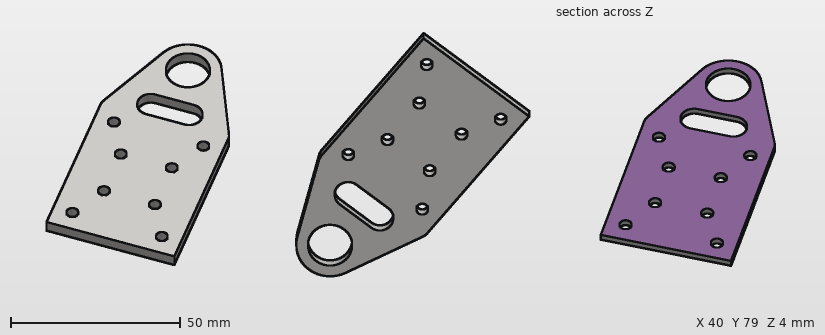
import cadquery as cq
import math

length = 79.0
width = 40.0
thickness = 4.0
half_width = width / 2
nose_radius = width / 4
nose_y = length - nose_radius
shoulder_y = 49.0
shoulder_radius = 5.0

eye_diameter = 13.0
slot_length = width / 2
slot_width = 8.0
slot_y = 53.0

screw_diameter = 3.5
pattern_y = 24.5
outer_spacing = (28.0, 37.0)
inner_spacing = (15.95, 15.0)


def taper_tangent_point():
    """Point on the right of the nose where the line from the shoulder is tangent."""
    rise = nose_y - shoulder_y
    distance = math.hypot(half_width, rise)
    angle = math.acos(nose_radius / distance) - math.atan2(rise, half_width)
    return nose_radius * math.cos(angle), nose_y + nose_radius * math.sin(angle)


def make_plate():
    tangent_x, tangent_y = taper_tangent_point()
    plate = (
        cq.Workplane("XY")
        .moveTo(-half_width, 0)
        .lineTo(half_width, 0)
        .lineTo(half_width, shoulder_y)
        .lineTo(tangent_x, tangent_y)
        .threePointArc((0, length), (-tangent_x, tangent_y))
        .lineTo(-half_width, shoulder_y)
        .close()
        .extrude(thickness)
    )
    shoulders = cq.selectors.BoxSelector(
        (-width, shoulder_y - 0.8, -0.8), (width, shoulder_y + 0.8, thickness + 0.8)
    )
    return plate.edges("|Z").edges(shoulders).fillet(shoulder_radius)


def make_eye():
    return cq.Workplane("XY").center(0, nose_y).circle(eye_diameter / 2).extrude(thickness)


def make_slot():
    return cq.Workplane("XY").center(0, slot_y).slot2D(slot_length, slot_width).extrude(thickness)


def make_screw_holes(spacing):
    spacing_x, spacing_y = spacing
    return (
        cq.Workplane("XY")
        .center(0, pattern_y)
        .rect(spacing_x, spacing_y, forConstruction=True)
        .vertices()
        .circle(screw_diameter / 2)
        .extrude(thickness)
    )


result = make_plate().cut(make_eye()).cut(make_slot())
for hole_spacing in (outer_spacing, inner_spacing):
    result = result.cut(make_screw_holes(hole_spacing))